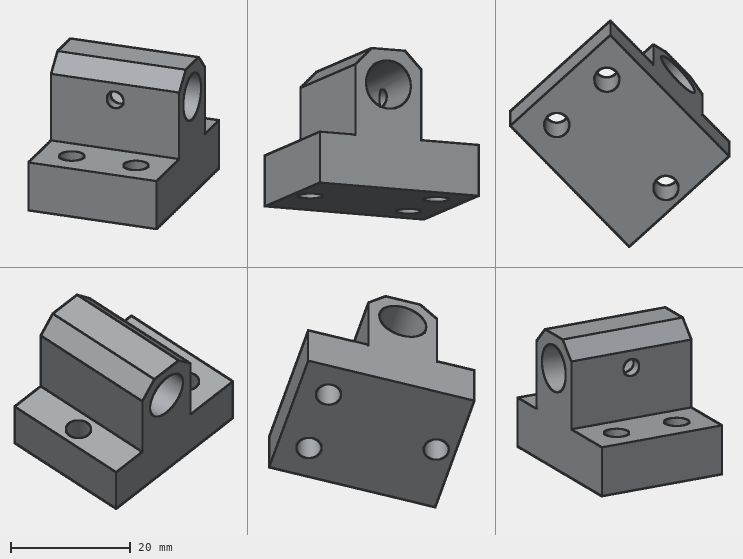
import cadquery as cq

width = 23.0
base_depth = 29.0
base_height = 8.67

total_height = 23.65
front_shelf = 10.5
housing_depth = 12.0
chamfer = 3.0

bore_diameter = 8.18
bore_below_top = 6.0
set_screw_diameter = 3.0

mount_diameter = 4.2

housing_back = front_shelf + housing_depth
rear_shelf = base_depth - housing_back
bore_y = front_shelf + housing_depth / 2
bore_z = total_height - bore_below_top
mount_points = [
    (width / 4, front_shelf / 2),
    (width * 3 / 4, front_shelf / 2),
    (width / 2, base_depth - rear_shelf / 2),
]


def make_body():
    """Extrude the stepped side outline (Y, Z) along X."""
    return (
        cq.Workplane("YZ")
        .moveTo(0, 0)
        .lineTo(base_depth, 0)
        .lineTo(base_depth, base_height)
        .lineTo(housing_back, base_height)
        .lineTo(housing_back, total_height - chamfer)
        .lineTo(housing_back - chamfer, total_height)
        .lineTo(front_shelf + chamfer, total_height)
        .lineTo(front_shelf, total_height - chamfer)
        .lineTo(front_shelf, base_height)
        .lineTo(0, base_height)
        .close()
        .extrude(width)
    )


def make_bore():
    """Rod bore running through the full width."""
    return cq.Workplane("YZ").center(bore_y, bore_z).circle(bore_diameter / 2).extrude(width)


def make_set_screw_hole():
    """Hole through the housing's front wall only, ending on the bore axis."""
    return (
        cq.Workplane("XZ", origin=(width / 2, bore_y, bore_z))
        .circle(set_screw_diameter / 2)
        .extrude(housing_depth / 2)
    )


def make_mount_holes():
    """Two holes in the front shelf and one in the rear shelf."""
    return cq.Workplane("XY").pushPoints(mount_points).circle(mount_diameter / 2).extrude(base_height)


result = make_body().cut(make_bore()).cut(make_set_screw_hole()).cut(make_mount_holes())